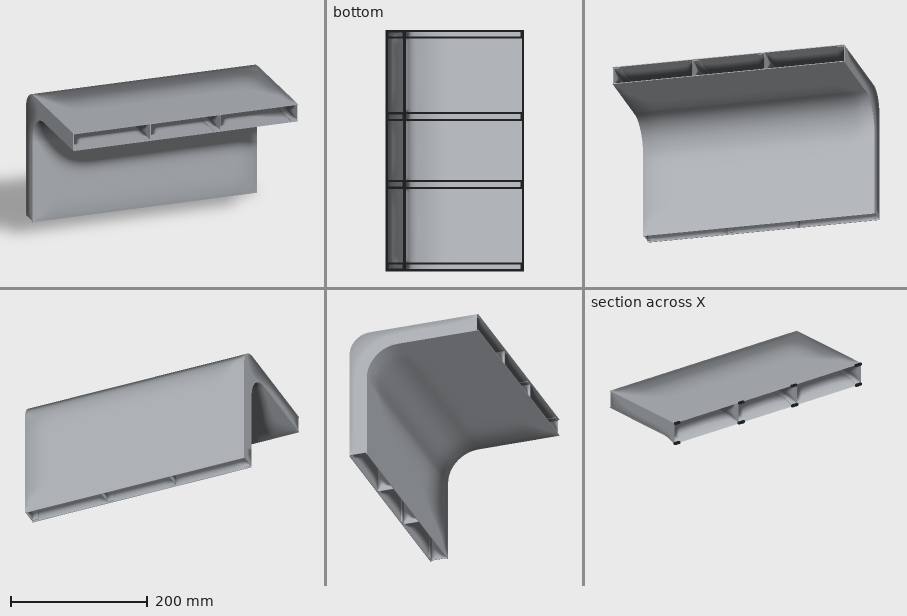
import cadquery as cq
import math

length = 350.0
leg = 200.0
wall = 27.0
sheet = 1.0
outer_radius = 31.0
inner_radius = 47.2

rib_width = 10.0
rib_end_inset = 2.0
middle_rib_start = 120.0


def angle_band(near_depth, far_depth, end, start, width):
    """L-shaped band between two depths below the outer faces.

    The legs run to the coordinate `end`, and the band spans `width`
    along +Y from Y = start. In the outer half of the wall the corner arcs
    are offsets of the outer skin face, in the inner half of the inner one.
    """

    def corner_radius(depth):
        if depth < wall / 2:
            return outer_radius - depth
        return inner_radius + wall - depth

    def arc_middle(depth):
        return depth + corner_radius(depth) * (1 - math.sqrt(0.5))

    near_tangent = near_depth + corner_radius(near_depth)
    far_tangent = far_depth + corner_radius(far_depth)
    near_middle = arc_middle(near_depth)
    far_middle = arc_middle(far_depth)
    return (
        cq.Workplane("XZ", origin=(0, start, 0))
        .moveTo(near_depth, -end)
        .lineTo(near_depth, -near_tangent)
        .threePointArc((near_middle, -near_middle), (near_tangent, -near_depth))
        .lineTo(end, -near_depth)
        .lineTo(end, -far_depth)
        .lineTo(far_tangent, -far_depth)
        .threePointArc((far_middle, -far_middle), (far_depth, -far_tangent))
        .lineTo(far_depth, -end)
        .close()
        .extrude(-width)
    )


def make_outer_skin():
    return angle_band(0, sheet, leg, 0, length)


def make_inner_skin():
    return angle_band(wall - sheet, wall, leg, 0, length)


def make_front_rib(start):
    """Channel rib with its web at Y = start and its flanges toward +Y."""
    end = leg - rib_end_inset
    outer_face = sheet
    inner_face = wall - sheet
    web = angle_band(outer_face, inner_face, end, start, sheet)
    outer_flange = angle_band(outer_face, outer_face + sheet, end, start, rib_width)
    inner_flange = angle_band(inner_face - sheet, inner_face, end, start, rib_width)
    return web.union(outer_flange).union(inner_flange)


def make_back_rib(start):
    """Mirror image of a front rib about the middle of the length."""
    return make_front_rib(start).mirror("XZ", (0, length / 2, 0))


outer_skin = make_outer_skin()
inner_skin = make_inner_skin()

ribs = []
for distance_from_end in (0, middle_rib_start):
    ribs.append(make_front_rib(distance_from_end))
    ribs.append(make_back_rib(distance_from_end))

result = cq.Compound.makeCompound(
    [outer_skin.val(), inner_skin.val(), *[rib.val() for rib in ribs]]
)